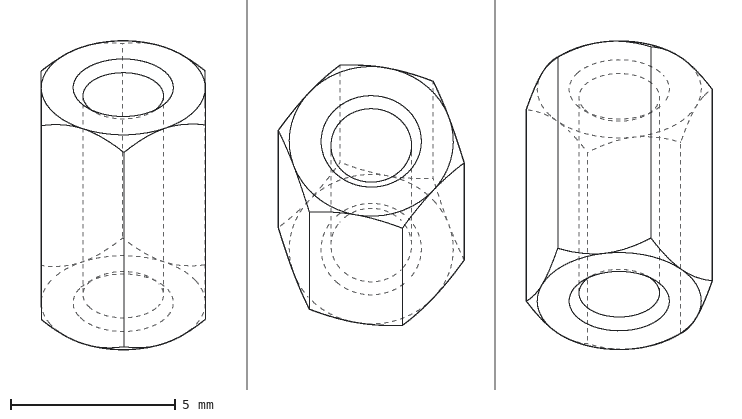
import cadquery as cq
import math

length = 8.0
across_flats = 5.0
across_corners = across_flats / math.cos(math.pi / 6)
bore_diameter = 2.46
countersink_diameter = 3.06

corner_chamfer = (across_corners - across_flats) / 2
countersink_depth = (countersink_diameter - bore_diameter) / 2


def chamfered_hexagon():
    """Hexagonal bar whose corners are turned down conically at both ends."""
    bar = cq.Workplane("XY").polygon(6, across_corners).extrude(length)
    turned_envelope = (
        cq.Workplane("XY")
        .circle(across_corners / 2)
        .extrude(length)
        .faces("<Z or >Z")
        .chamfer(corner_chamfer)
    )
    return bar.intersect(turned_envelope)


def countersunk_bore():
    """Through bore with a 45-degree countersink at each end."""
    bore_radius = bore_diameter / 2
    countersink_radius = countersink_diameter / 2
    return (
        cq.Workplane("XZ")
        .moveTo(0, 0)
        .lineTo(countersink_radius, 0)
        .lineTo(bore_radius, countersink_depth)
        .lineTo(bore_radius, length - countersink_depth)
        .lineTo(countersink_radius, length)
        .lineTo(0, length)
        .close()
        .revolve(360, (0, 0, 0), (0, 1, 0))
    )


result = chamfered_hexagon().cut(countersunk_bore())